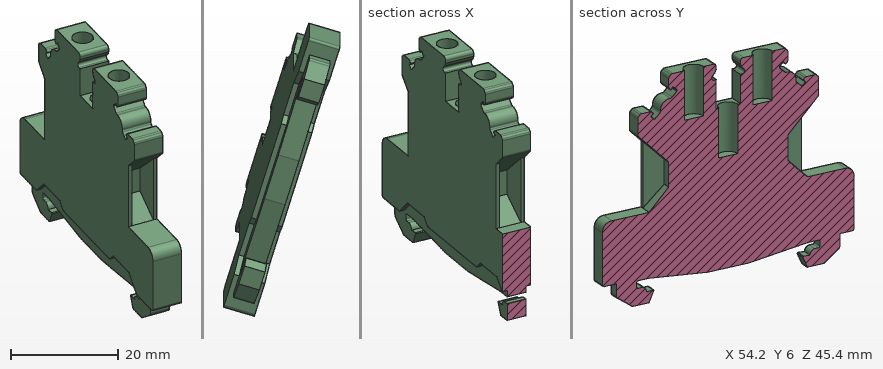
import cadquery as cq


length = 54.2
thickness = 6.0
height = 45.37
half_length = length / 2

corner_radius = 0.5

base_bottom = 5.3
base_top = 18.35
base_round = 2.0

recess_half_width = 20.4
recess_top = 8.4
recess_rise = recess_top - base_bottom
step_outer_x = 10.9
step_drop = 1.45

upright_half_width = 17.05
shoulder_x = 19.5
shoulder_top = 38.65
shoulder_bottom = 34.25
shoulder_overhang = shoulder_x - upright_half_width
slope_bottom = shoulder_bottom - shoulder_overhang
shoulder_chamfer = 0.65
shoulder_end_x = 16.6

notch_step = 0.55
notch_lip = 0.5
notch_depth = 0.7

quarter_radius = 2.0
quarter_center_x = 12.6
quarter_center_z = 38.45
quarter_x = quarter_center_x + quarter_radius
quarter_top = quarter_center_z + quarter_radius
quarter_flat = 0.35

head_x = 12.85
head_chamfer = 0.65
hook_bottom = 42.55
hook_lip = 0.5
hook_inner_x = 11.1
hook_flat_top = 41.9

slot_half_width = 2.55
slot_floor = 36.2
nose_radius = 0.7
nose_bottom = 44.15
nose_bend_x = 2.85
nose_bend_z = 43.45
groove_tip_x = 3.3
groove_tip_z = 43.0
groove_deep_x = 3.5
groove_deep_z = 42.65
groove_bottom = 42.1
groove_flat_x = 3.05

foot_thickness = 4.0
foot_x = 24.05
foot_corner_z = 2.5
foot_corner_radius = 0.7
foot_toe_outer_x = 20.6
foot_toe_inner_x = 17.0
claw_tip_x = 15.95
claw_tip_z = 2.3
claw_bevel_x = 16.1
claw_bevel_z = 2.5
claw_flat_z = 2.4
claw_flat_x = 17.5
claw_round_width = 1.05
claw_arc_radius = 1.25
claw_seat_z = 3.5
throat_x = 19.65
throat_round = 0.3
belly_outer_x = 17.1
belly_outer_z = 4.95
belly_inner_x = 4.4
belly_bottom = 3.5
foot_overlap = 1.0
foot_root_z = recess_top + foot_overlap

pocket_depth = 4.2
pocket_mouth_width = 4.5
pocket_end_width = 3.2

hole_diameter = 4.0
hole_spacing = 7.4
hole_depth = 10.0


def slab(half_profile, width, rounded_corners, radius):
    """Extrude the -X half profile, centred on Y, round its corners and add its mirror image."""
    half = half_profile.close().extrude(width / 2, both=True)
    for x, z in rounded_corners:
        corner_edge = cq.selectors.NearestToPointSelector((x, 0, z))
        half = half.edges("|Y").edges(corner_edge).fillet(radius)
    return half.union(half.mirror("YZ"))


def make_housing():
    step_inner_x = step_outer_x - step_drop
    lip_x = shoulder_end_x - notch_step
    lip_z = shoulder_top - notch_step
    back_x = lip_x + notch_lip
    back_z = lip_z - notch_lip
    deep_x = back_x - notch_depth
    deep_z = back_z - notch_depth
    hook_tip_x = head_x - hook_lip
    hook_back_x = hook_tip_x - hook_lip
    hook_flat_bottom = quarter_top + quarter_center_x - quarter_flat - hook_inner_x
    profile = (
        cq.Workplane("XZ")
        .moveTo(0, recess_top - step_drop)
        .lineTo(-step_inner_x, recess_top - step_drop)
        .lineTo(-step_outer_x, recess_top)
        .lineTo(-recess_half_width + recess_rise, recess_top)
        .lineTo(-recess_half_width, base_bottom)
        .lineTo(-half_length, base_bottom)
        .lineTo(-half_length, base_top - base_round)
        .radiusArc((-half_length + base_round, base_top), base_round)
        .lineTo(-upright_half_width, base_top)
        .lineTo(-upright_half_width, slope_bottom)
        .lineTo(-shoulder_x, shoulder_bottom)
        .lineTo(-shoulder_x, shoulder_top - shoulder_chamfer)
        .lineTo(-shoulder_x + shoulder_chamfer, shoulder_top)
        .lineTo(-shoulder_end_x, shoulder_top)
        .lineTo(-lip_x, lip_z)
        .lineTo(-back_x, back_z)
        .lineTo(-deep_x, deep_z)
        .lineTo(-quarter_x, quarter_center_z - quarter_flat)
        .lineTo(-quarter_x, quarter_center_z)
        .radiusArc((-quarter_center_x, quarter_top), quarter_radius)
        .lineTo(-quarter_center_x + quarter_flat, quarter_top)
        .lineTo(-hook_inner_x, hook_flat_bottom)
        .lineTo(-hook_inner_x, hook_flat_top)
        .lineTo(-hook_back_x, hook_bottom)
        .lineTo(-hook_tip_x, hook_bottom - hook_lip)
        .lineTo(-head_x, hook_bottom)
        .lineTo(-head_x, height - head_chamfer)
        .lineTo(-head_x + head_chamfer, height)
        .lineTo(-slot_half_width - nose_radius, height)
        .radiusArc((-slot_half_width, height - nose_radius), nose_radius)
        .lineTo(-slot_half_width, nose_bottom)
        .lineTo(-nose_bend_x, nose_bend_z)
        .lineTo(-groove_tip_x, groove_tip_z)
        .threePointArc((-groove_deep_x, groove_deep_z), (-groove_flat_x, groove_bottom))
        .lineTo(-slot_half_width, groove_bottom)
        .lineTo(-slot_half_width, slot_floor)
        .lineTo(0, slot_floor)
    )
    rounded_corners = (
        (-half_length, base_bottom),
        (-shoulder_x, shoulder_bottom),
        (-shoulder_x, shoulder_top - shoulder_chamfer),
        (-shoulder_x + shoulder_chamfer, shoulder_top),
        (-shoulder_end_x, shoulder_top),
        (-quarter_x, quarter_center_z - quarter_flat),
        (-quarter_center_x + quarter_flat, quarter_top),
        (-head_x, hook_bottom),
        (-head_x, height - head_chamfer),
        (-head_x + head_chamfer, height),
    )
    return slab(profile, thickness, rounded_corners, corner_radius)


def make_foot():
    profile = (
        cq.Workplane("XZ")
        .moveTo(0, belly_bottom)
        .lineTo(-belly_inner_x, belly_bottom)
        .lineTo(-belly_outer_x, belly_outer_z)
        .lineTo(-throat_x + throat_round, belly_outer_z)
        .radiusArc((-throat_x, belly_outer_z - throat_round), -throat_round)
        .lineTo(-throat_x, claw_seat_z + throat_round)
        .radiusArc((-throat_x + throat_round, claw_seat_z), -throat_round)
        .lineTo(-claw_flat_x - claw_round_width, claw_seat_z)
        .radiusArc((-claw_flat_x, claw_flat_z), claw_arc_radius)
        .lineTo(-claw_bevel_x, claw_bevel_z)
        .lineTo(-claw_tip_x, claw_tip_z)
        .lineTo(-foot_toe_inner_x, 0)
        .lineTo(-foot_toe_outer_x, 0)
        .lineTo(-foot_x, foot_corner_z)
        .lineTo(-foot_x, foot_root_z)
        .lineTo(0, foot_root_z)
    )
    rounded_corners = ((-foot_x, foot_corner_z),)
    return slab(profile, foot_thickness, rounded_corners, foot_corner_radius)


def make_pocket():
    mouth_height = slope_bottom - base_top
    end_height = mouth_height - 2 * pocket_depth
    return (
        cq.Workplane("YZ")
        .workplane(offset=-upright_half_width)
        .center(0, (slope_bottom + base_top) / 2)
        .rect(pocket_mouth_width, mouth_height)
        .workplane(offset=pocket_depth)
        .rect(pocket_end_width, end_height)
        .loft(ruled=True)
    )


def make_screw_hole(x, top):
    return (
        cq.Workplane("XY")
        .workplane(offset=top)
        .center(x, 0)
        .circle(hole_diameter / 2)
        .extrude(-hole_depth)
    )


result = make_housing().union(make_foot())

left_pocket = make_pocket()
result = result.cut(left_pocket).cut(left_pocket.mirror("YZ"))

for hole_x, hole_top in ((-hole_spacing, height), (0, slot_floor), (hole_spacing, height)):
    result = result.cut(make_screw_hole(hole_x, hole_top))